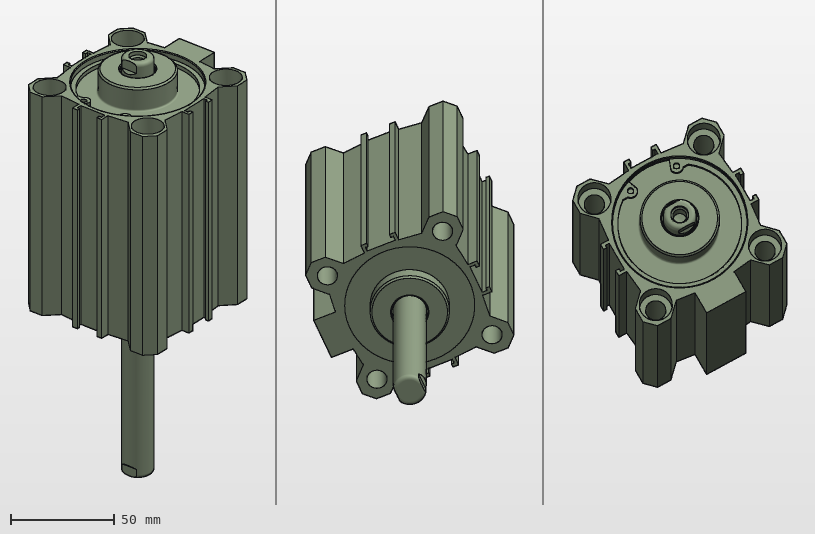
import cadquery as cq
import math

HOUSING_HEIGHT = 122.3
OVERALL_WIDTH = 80.0
OVERALL_DEPTH = 86.0
LOBE_REACH = OVERALL_WIDTH / 2
LOBE_FLAT_OUT = 34.8
LOBE_FLAT_IN = 27.4
WALL_END = 20.6
WALL_LOW = 33.5
WALL_HIGH = 34.5
CHANNEL_FLOOR = 35.0
RAIL_OUTER = 9.0
RAIL_NECK_INNER = 7.5
RAIL_LIP_INNER = 6.0
RAIL_LIP_THICKNESS = 1.9
SIDE_RAIL_TIP = 39.0
FRONT_RAIL_TIP = 39.5
PORT_HALF_WIDTH = 11.0
PORT_FACE = OVERALL_DEPTH - LOBE_REACH

MOUNT_OFFSET = 30.5
MOUNT_HOLE_DIA = 9.7
MOUNT_BORE_DIA = 16.0
MOUNT_BORE_DEPTH = 11.5

BORE_DIA = 63.0
SEAT_DIA = 65.2
SEAT_CHAMFER = 0.5
GROOVE_DIA = 68.2

RING_THICKNESS = 2.0
RING_DEPTH = 3.2
RING_INNER_DIA = 60.0
RING_GAP_HALF_ANGLE = 20.3
EAR_X = 12.8
EAR_Y = -26.0
EAR_DIA = 6.7
EAR_HOLE_DIA = 3.0
EAR_WEB_Y = -24.0

COVER_THICKNESS = 15.0
BOSS_DIA = 38.5
BOSS_HEIGHT = 7.7
BOSS_CHAMFER = 1.0
BOSS_FILLET = 1.0
ROD_BORE_DIA = 16.5
WIPER_DIA = 17.6
WIPER_DEPTH = 1.5
WIPER_CHAMFER = 0.5

TOTAL_LENGTH = 232.0
ROD_DIA = 16.0
ROD_TOP_STICKOUT = 7.2
ROD_END_FILLET = 2.0
FLAT_WIDTH = 13.2
FLAT_LENGTH = 5.3
CENTRE_BORE_DIA = 8.5
CENTRE_BORE_DEPTH = 2.0
CENTRE_HOLE_DIA = 6.7
CENTRE_HOLE_DEPTH = 11.5
CENTRE_POINT_DEPTH = 0.5

RING_TOP = HOUSING_HEIGHT - RING_DEPTH
COVER_TOP = RING_TOP - RING_THICKNESS
TOP_BOSS_END = HOUSING_HEIGHT + BOSS_HEIGHT
ROD_TOP = TOP_BOSS_END + ROD_TOP_STICKOUT
ROD_BOTTOM = ROD_TOP - TOTAL_LENGTH

SMALLEST_CIRCLE = cq.selectors.RadiusNthSelector(0)
LARGEST_CIRCLE = cq.selectors.RadiusNthSelector(-1)


def cylinder(diameter, bottom, top):
    return cq.Workplane("XY").workplane(offset=bottom).circle(diameter / 2).extrude(top - bottom)


def rail_pair_points(tip):
    """Two lipped rails on a side facing -Y, listed in the +X direction."""
    lip = tip - RAIL_LIP_THICKNESS
    left = [
        (-RAIL_OUTER, -WALL_HIGH),
        (-RAIL_OUTER, -tip),
        (-RAIL_LIP_INNER, -tip),
        (-RAIL_LIP_INNER, -lip),
        (-RAIL_NECK_INNER, -lip),
        (-RAIL_NECK_INNER, -CHANNEL_FLOOR),
    ]
    return left + [(-x, y) for x, y in reversed(left)]


def port_points():
    """Plain port block on a side facing -Y, listed in the +X direction."""
    return [
        (-PORT_HALF_WIDTH, -WALL_HIGH),
        (-PORT_HALF_WIDTH, -PORT_FACE),
        (PORT_HALF_WIDTH, -PORT_FACE),
        (PORT_HALF_WIDTH, -WALL_HIGH),
    ]


def side_points(middle):
    """One side facing -Y, from its left lobe to its right lobe, around the given middle."""
    left = [
        (-LOBE_FLAT_OUT, -LOBE_REACH),
        (-LOBE_FLAT_IN, -LOBE_REACH),
        (-WALL_END, -WALL_LOW),
    ]
    return left + middle + [(-x, y) for x, y in reversed(left)]


def turned(points, quarter_turns):
    for _ in range(quarter_turns):
        points = [(-y, x) for x, y in points]
    return points


def make_housing():
    side_rails = rail_pair_points(SIDE_RAIL_TIP)
    middles = [rail_pair_points(FRONT_RAIL_TIP), side_rails, port_points(), side_rails]
    outline = []
    for quarter, middle in enumerate(middles):
        outline += turned(side_points(middle), quarter)
    body = cq.Workplane("XY").polyline(outline).close().extrude(HOUSING_HEIGHT)

    corners = [(sx * MOUNT_OFFSET, sy * MOUNT_OFFSET) for sx in (-1, 1) for sy in (-1, 1)]
    body = (
        body.faces(">Z").workplane(origin=(0, 0, HOUSING_HEIGHT)).pushPoints(corners)
        .cboreHole(MOUNT_HOLE_DIA, MOUNT_BORE_DIA, MOUNT_BORE_DEPTH)
    )
    body = body.cut(cylinder(BORE_DIA, 0, HOUSING_HEIGHT))
    seat = cylinder(SEAT_DIA, COVER_TOP - COVER_THICKNESS, HOUSING_HEIGHT)
    body = body.cut(seat)
    seat_rim = body.faces(">Z").edges("%CIRCLE").edges(LARGEST_CIRCLE)
    body = seat_rim.chamfer(SEAT_CHAMFER)
    return body.cut(cylinder(GROOVE_DIA, COVER_TOP, RING_TOP))


def make_ring():
    plane = cq.Workplane("XY").workplane(offset=COVER_TOP)
    disc = cylinder(GROOVE_DIA, COVER_TOP, RING_TOP)
    ring = disc.cut(cylinder(RING_INNER_DIA, COVER_TOP, RING_TOP))
    for side in (-1, 1):
        ear = plane.center(side * EAR_X, EAR_Y).circle(EAR_DIA / 2).extrude(RING_THICKNESS)
        web = plane.polyline(
            [
                (side * EAR_X, EAR_WEB_Y),
                (side * RING_INNER_DIA / 2, EAR_WEB_Y),
                (side * RING_INNER_DIA / 2, -RING_INNER_DIA / 2),
                (side * EAR_X, -RING_INNER_DIA / 2),
            ]
        ).close().extrude(RING_THICKNESS)
        ring = ring.union(ear.union(web).intersect(disc))
    gap_x = GROOVE_DIA * math.tan(math.radians(RING_GAP_HALF_ANGLE))
    gap = plane.polyline([(0, 0), (-gap_x, -GROOVE_DIA), (gap_x, -GROOVE_DIA)]).close()
    ring = ring.cut(gap.extrude(RING_THICKNESS))
    holes = plane.pushPoints([(-EAR_X, EAR_Y), (EAR_X, EAR_Y)]).circle(EAR_HOLE_DIA / 2)
    return ring.cut(holes.extrude(RING_THICKNESS))


def make_cover(disc_dia, shoulder):
    """Cover with its boss upward: disc top at Z = 0, boss rising by shoulder."""
    half_profile = [
        (ROD_BORE_DIA / 2, -COVER_THICKNESS),
        (disc_dia / 2, -COVER_THICKNESS),
        (disc_dia / 2, 0),
        (BOSS_DIA / 2, 0),
        (BOSS_DIA / 2, shoulder - BOSS_CHAMFER),
        (BOSS_DIA / 2 - BOSS_CHAMFER, shoulder),
        (WIPER_DIA / 2 + WIPER_CHAMFER, shoulder),
        (WIPER_DIA / 2, shoulder - WIPER_CHAMFER),
        (WIPER_DIA / 2, shoulder - WIPER_DEPTH),
        (ROD_BORE_DIA / 2, shoulder - WIPER_DEPTH),
    ]
    return cq.Workplane("XZ").polyline(half_profile).close().revolve(360, (0, 0), (0, 1))


def make_top_cover():
    """Top cover, with a fillet where the boss meets the recessed disc."""
    shoulder = TOP_BOSS_END - COVER_TOP
    cover = make_cover(SEAT_DIA, shoulder)
    half_box = SEAT_DIA / 2
    around_disc_top = cq.selectors.BoxSelector(
        (-half_box, -half_box, -BOSS_FILLET), (half_box, half_box, BOSS_FILLET)
    )
    root = cover.faces(around_disc_top).edges(SMALLEST_CIRCLE)
    return root.fillet(BOSS_FILLET).translate((0, 0, COVER_TOP))


def make_bottom_cover():
    """Bottom cover, flush with the housing bottom, boss downward."""
    return make_cover(BORE_DIA, BOSS_HEIGHT).rotate((0, 0, 0), (1, 0, 0), 180)


def make_rod():
    rod = cylinder(ROD_DIA, ROD_BOTTOM, ROD_TOP).faces("<Z or >Z").edges().fillet(ROD_END_FILLET)
    run_out = (ROD_DIA - FLAT_WIDTH) / 2
    for end, inward in ((ROD_TOP, -1), (ROD_BOTTOM, 1)):
        for side in (-1, 1):
            flat = cq.Workplane("YZ").polyline(
                [
                    (side * FLAT_WIDTH / 2, end),
                    (side * FLAT_WIDTH / 2, end + inward * FLAT_LENGTH),
                    (side * ROD_DIA / 2, end + inward * (FLAT_LENGTH + run_out)),
                    (side * ROD_DIA / 2, end),
                ]
            ).close().extrude(ROD_DIA / 2, both=True)
            rod = rod.cut(flat)
    return rod.cut(make_centre_hole())


def make_centre_hole():
    hole_radius = CENTRE_HOLE_DIA / 2
    bore_radius = CENTRE_BORE_DIA / 2
    floor = ROD_TOP - CENTRE_HOLE_DEPTH
    seat = ROD_TOP - CENTRE_BORE_DEPTH
    half_profile = [
        (0, floor - CENTRE_POINT_DEPTH),
        (hole_radius, floor),
        (hole_radius, seat - (bore_radius - hole_radius)),
        (bore_radius, seat),
        (bore_radius, ROD_TOP),
        (0, ROD_TOP),
    ]
    return cq.Workplane("XZ").polyline(half_profile).close().revolve(360, (0, 0), (0, 1))


housing = make_housing()
ring = make_ring()
top_cover = make_top_cover()
bottom_cover = make_bottom_cover()
rod = make_rod()

result = cq.Compound.makeCompound(
    [housing.val(), ring.val(), top_cover.val(), bottom_cover.val(), rod.val()]
)